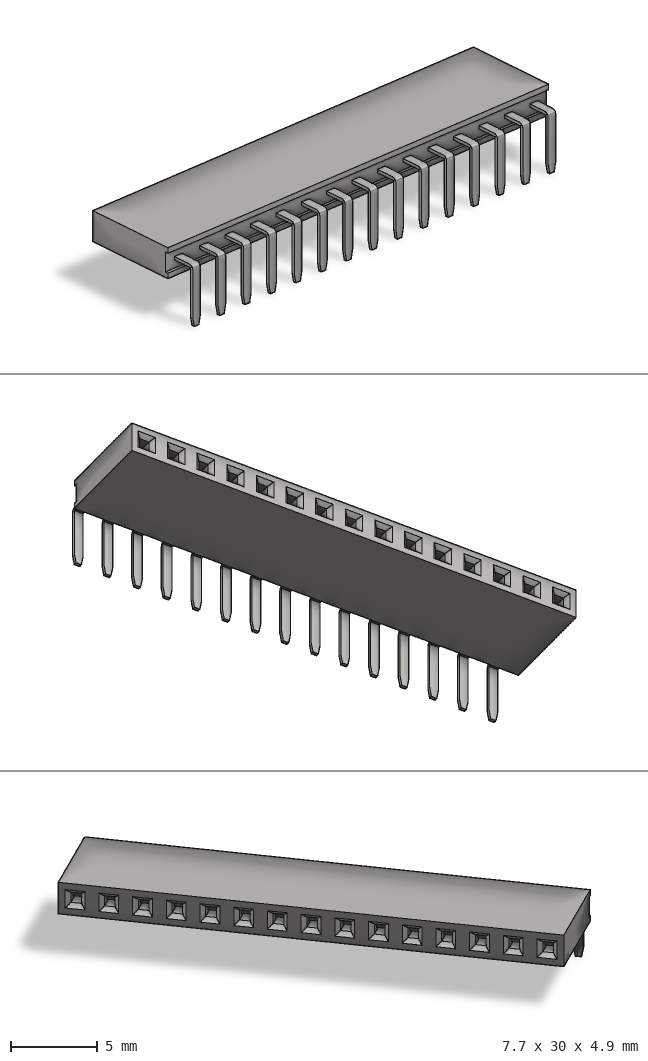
import cadquery as cq

POSITIONS = 15
LENGTH = 30.0
PITCH = LENGTH / POSITIONS
HOUSING_DEPTH = 6.35
HOUSING_HEIGHT = 2.0

CHANNEL_DEPTH = 0.2
LIP_HEIGHT = 0.35

FUNNEL_MOUTH = 1.17
FUNNEL_DEPTH = 0.27
CAVITY_WIDTH = 0.63
CAVITY_FLOOR = 1.5

PIN_WIDTH = 0.6
PIN_THICKNESS = 0.2
PIN_START = 0.75
PIN_REACH = 7.7
TOTAL_HEIGHT = 4.9
BEND_RADIUS = 0.3
TIP_WIDTH = 0.35
TIP_LENGTH = 0.63

PIN_BOTTOM = HOUSING_HEIGHT / 2 - TOTAL_HEIGHT
CHANNEL_FLOOR = HOUSING_DEPTH - CHANNEL_DEPTH


def box(x_start, x_end, width, z_bottom, z_top):
    """Block centred on Y = 0 between the given X and Z limits."""
    size = (x_end - x_start, width, z_top - z_bottom)
    return cq.Workplane("XY").box(*size, centered=(False, True, False)).translate((x_start, 0, z_bottom))


def make_housing():
    half_height = HOUSING_HEIGHT / 2
    half_channel = half_height - LIP_HEIGHT
    body = box(0, HOUSING_DEPTH, LENGTH, -half_height, half_height)
    return body.cut(box(CHANNEL_FLOOR, HOUSING_DEPTH, LENGTH, -half_channel, half_channel))


def make_socket():
    """Square funnel opening on the mating face, with a blind square cavity behind it."""
    funnel = (
        cq.Workplane("YZ")
        .rect(FUNNEL_MOUTH, FUNNEL_MOUTH)
        .workplane(offset=FUNNEL_DEPTH)
        .rect(CAVITY_WIDTH, CAVITY_WIDTH)
        .loft(ruled=True)
    )
    half_width = CAVITY_WIDTH / 2
    return funnel.union(box(FUNNEL_DEPTH, CAVITY_FLOOR, CAVITY_WIDTH, -half_width, half_width))


def make_pin():
    """Flat pin running from inside the cavity through the housing, bent down and tapered at its end."""
    half_thickness = PIN_THICKNESS / 2
    tail = box(PIN_START, PIN_REACH, PIN_WIDTH, -half_thickness, half_thickness)
    leg = (
        cq.Workplane("YZ", origin=(PIN_REACH - PIN_THICKNESS, 0, 0))
        .moveTo(-PIN_WIDTH / 2, half_thickness)
        .lineTo(-PIN_WIDTH / 2, PIN_BOTTOM + TIP_LENGTH)
        .lineTo(-TIP_WIDTH / 2, PIN_BOTTOM)
        .lineTo(TIP_WIDTH / 2, PIN_BOTTOM)
        .lineTo(PIN_WIDTH / 2, PIN_BOTTOM + TIP_LENGTH)
        .lineTo(PIN_WIDTH / 2, half_thickness)
        .close()
        .extrude(PIN_THICKNESS)
    )
    outer_corner = cq.selectors.NearestToPointSelector((PIN_REACH, 0, half_thickness))
    return tail.union(leg).edges(outer_corner).fillet(BEND_RADIUS)


housing = make_housing()
socket = make_socket()
pin = make_pin()
for index in range(POSITIONS):
    offset = (0, (index - (POSITIONS - 1) / 2) * PITCH, 0)
    housing = housing.cut(socket.translate(offset)).union(pin.translate(offset))

result = housing